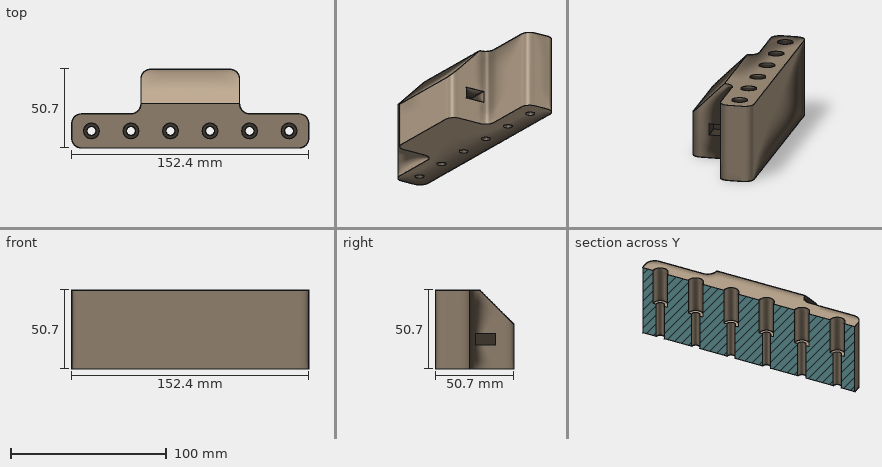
import cadquery as cq

length = 152.4
depth = 50.7
height = 50.7

bar_depth = 22.1
block_width = 63.5
corner_radius = 6.4

slope_size = 22.1

hole_count = 6
hole_pitch = length / hole_count
hole_diameter = 5.6
counterbore_diameter = 10.0
counterbore_depth = height / 2

pocket_front = 25.9
pocket_width = 13.0
pocket_bottom = 15.4
pocket_height = 7.5
pocket_depth = pocket_width


def make_body():
    """Bar and block with all upright corners rounded, origin at the front centre of the base."""
    bar = cq.Workplane("XY").box(length, bar_depth, height, centered=(True, False, False))
    block = cq.Workplane("XY").box(block_width, depth, height, centered=(True, False, False))
    return bar.union(block).edges("|Z").fillet(corner_radius)


def make_slope():
    """Triangular prism that removes the top back edge of the block."""
    return (
        cq.Workplane("YZ")
        .moveTo(depth, height)
        .lineTo(depth - slope_size, height)
        .lineTo(depth, height - slope_size)
        .close()
        .extrude(block_width / 2, both=True)
    )


def drill_holes(body):
    """Counterbored through holes, evenly spaced along the middle of the bar."""
    first_x = -(hole_count - 1) * hole_pitch / 2
    centres = [(first_x + i * hole_pitch, bar_depth / 2) for i in range(hole_count)]
    return (
        body.faces(">Z")
        .workplane(origin=(0, 0, height))
        .pushPoints(centres)
        .cboreHole(hole_diameter, counterbore_diameter, counterbore_depth)
    )


def make_left_pocket():
    """Cutter for the left pocket, running outward far enough to clear the inside fillet."""
    outer_x = -block_width / 2 - corner_radius
    return cq.Workplane("XY").box(
        corner_radius + pocket_depth, pocket_width, pocket_height, centered=False
    ).translate((outer_x, pocket_front, pocket_bottom))


left_pocket = make_left_pocket()
right_pocket = left_pocket.mirror("YZ")

result = drill_holes(make_body().cut(make_slope())).cut(left_pocket).cut(right_pocket)